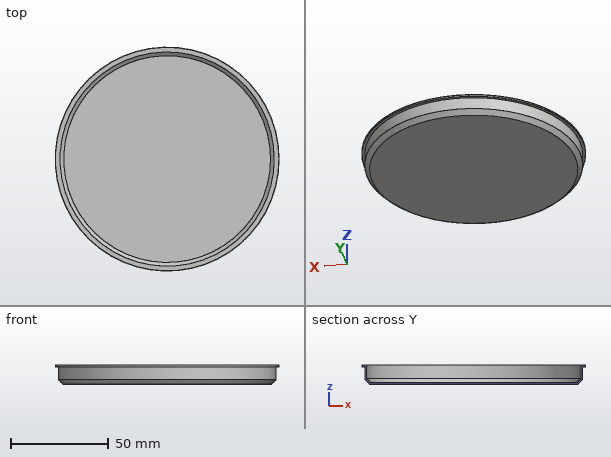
import cadquery as cq
import math

height = 10.0
rim_diameter = 115.0
rim_thickness = 1.0
body_diameter = 112.0
wall_thickness = 1.0
cavity_diameter = body_diameter - 2 * wall_thickness

outer_chamfer = 2.5
inner_chamfer = outer_chamfer - (2 - math.sqrt(2)) * wall_thickness


def make_shell():
    """Disc with a chamfered bottom edge and a thin rim flush with its top."""
    body = cq.Workplane("XY").circle(body_diameter / 2).extrude(height)
    body = body.faces("<Z").edges().chamfer(outer_chamfer)
    rim = (
        cq.Workplane("XY")
        .workplane(offset=height - rim_thickness)
        .circle(rim_diameter / 2)
        .extrude(rim_thickness)
    )
    return body.union(rim)


def make_cavity():
    """Open-topped recess with a chamfer where its wall meets the floor."""
    cavity = (
        cq.Workplane("XY")
        .workplane(offset=wall_thickness)
        .circle(cavity_diameter / 2)
        .extrude(height - wall_thickness)
    )
    return cavity.faces("<Z").edges().chamfer(inner_chamfer)


result = make_shell().cut(make_cavity())